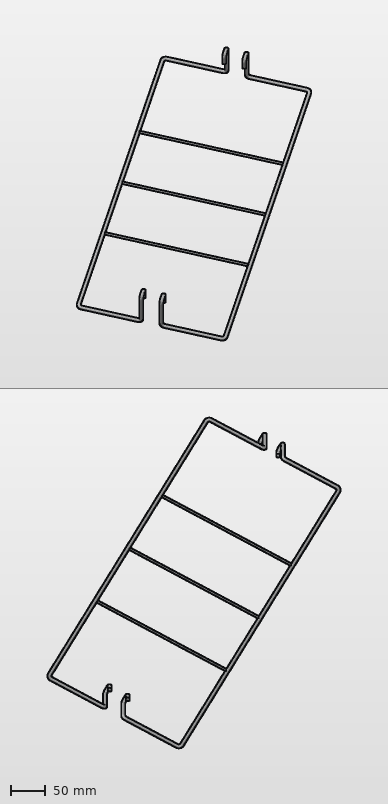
import cadquery as cq

width = 225.0
length = 468.0
height = 64.0

rod_diameter = 6.0
rung_diameter = 4.0
bend_radius = 5.0

post_spacing = 30.0
hook_reach = 13.5
hook_drop = 21.0
rung_pitch = 94.0
rung_count = 3

rod_radius = rod_diameter / 2
side_x = width / 2 - rod_radius
end_y = length / 2 - rod_radius
hook_z = height - rod_diameter
tip_z = height - rod_radius - hook_drop
post_x = post_spacing / 2
tip_y = end_y - hook_reach


def bent_path(points, radius):
    """Join points with straight lines and round each square corner with an arc."""
    corners = [cq.Vector(*point) for point in points]
    edges = []
    start = corners[0]
    for before, corner, after in zip(corners, corners[1:], corners[2:]):
        arriving = (corner - before).normalized()
        leaving = (after - corner).normalized()
        arc_start = corner - arriving * radius
        arc_end = corner + leaving * radius
        edges.append(cq.Edge.makeLine(start, arc_start))
        edges.append(cq.Edge.makeTangentArc(arc_start, arriving, arc_end))
        start = arc_end
    edges.append(cq.Edge.makeLine(start, corners[-1]))
    return cq.Wire.assembleEdges(edges)


def make_side_rod():
    """One continuous rod: a long side, its two end bars and their upright hooks."""
    half_points = [
        (post_x, tip_y, tip_z),
        (post_x, tip_y, hook_z),
        (post_x, end_y, hook_z),
        (post_x, end_y, 0),
        (side_x, end_y, 0),
    ]
    mirrored_points = [(x, -y, z) for x, y, z in reversed(half_points)]
    path = bent_path(half_points + mirrored_points, bend_radius)
    section = cq.Workplane("XY", origin=half_points[0]).circle(rod_radius)
    return section.sweep(cq.Workplane(obj=path), transition="right")


def make_rungs():
    """Thin cross rods joining the two long sides."""
    first_y = -rung_pitch * (rung_count - 1) / 2
    centres = [(first_y + i * rung_pitch, 0) for i in range(rung_count)]
    return (
        cq.Workplane("YZ")
        .pushPoints(centres)
        .circle(rung_diameter / 2)
        .extrude(side_x, both=True)
    )


side_rod = make_side_rod()
result = side_rod.union(side_rod.mirror("YZ")).union(make_rungs())